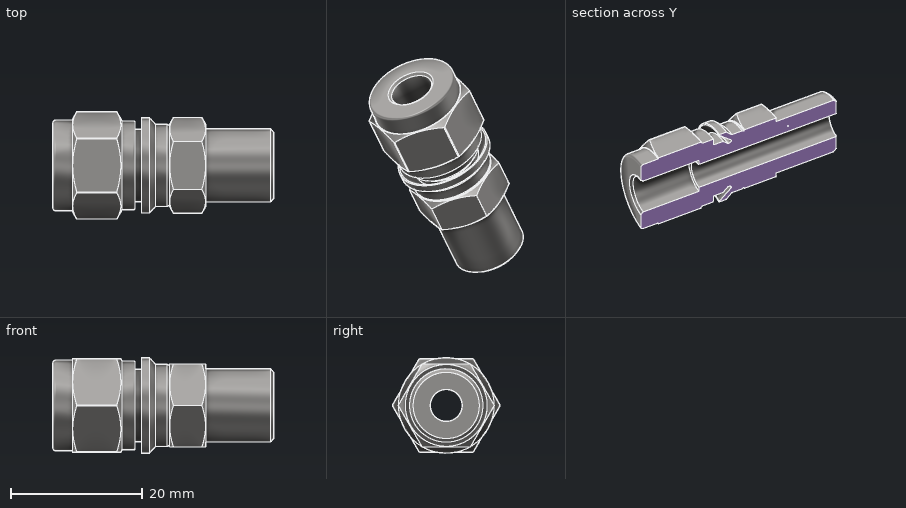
import cadquery as cq
import math

OVERALL_LENGTH = 33.74

NUT_HEX_START = 3.0
NUT_HEX_END = 10.57
COLLAR_END = 12.58
FLANGE_START = 13.55
NECK_END = 14.2
FLANGE_RIM_END = 14.75
RELIEF_END = 15.2
FLANGE_CONE_END = 15.7
BODY_HEX_START = 17.8
BODY_HEX_END = 23.38

NUT_DIAMETER = 13.9
COLLAR_DIAMETER = 13.6
NECK_DIAMETER = 11.11
RELIEF_DIAMETER = 9.4
FLANGE_DIAMETER = 14.6
RECESS_MOUTH_DIAMETER = 14.1
SHOULDER_DIAMETER = 12.6
STUB_DIAMETER = 11.2
STUB_TIP_DIAMETER = 10.1

RECESS_FLOOR_FILLET = 0.4

NUT_ACROSS_FLATS = 14.29
NUT_CORNER_DIAMETER = 16.4
NUT_HEX_FRONT_DIAMETER = 14.1
NUT_HEX_BACK_DIAMETER = 13.7
BODY_ACROSS_FLATS = 12.7
BODY_HEX_FACE_DIAMETER = 12.5
HEX_CHAMFER_ANGLE = 30.0

NUT_FACE_FILLET = 0.5
COLLAR_FILLET = 0.25
SHOULDER_TAPER_LENGTH = 0.35
SHOULDER_TAPER_DEPTH = 0.2
STUB_CHAMFER_LENGTH = 0.5

THROUGH_DIAMETER = 4.83
SOCKET_DIAMETER = 6.55
SOCKET_MOUTH_DIAMETER = 7.36
SOCKET_DEPTH = 10.0


def across_corners(across_flats):
    return across_flats / math.cos(math.radians(30))


def turned(points):
    """Revolve a closed (x, radius) outline about the X axis."""
    outline = cq.Workplane("XY").polyline(points).close()
    return outline.revolve(360, (0, 0, 0), (1, 0, 0))


def cylinder(start, end, diameter):
    """Cylinder along X between two stations."""
    return cq.Workplane("YZ", origin=(start, 0, 0)).circle(diameter / 2).extrude(end - start)


def chamfered_hex(start, end, across_flats, corner_diameter, front_diameter, back_diameter):
    """Hexagon along X with corners on +/-Y, turned down to cones at both ends."""
    prism = (
        cq.Workplane("YZ", origin=(start, 0, 0))
        .polygon(6, across_corners(across_flats))
        .extrude(end - start)
    )
    corner_radius = corner_diameter / 2
    front_radius = front_diameter / 2
    back_radius = back_diameter / 2
    cone_slope = math.tan(math.radians(HEX_CHAMFER_ANGLE))
    envelope = turned([
        (start, 0),
        (start, front_radius),
        (start + (corner_radius - front_radius) * cone_slope, corner_radius),
        (end - (corner_radius - back_radius) * cone_slope, corner_radius),
        (end, back_radius),
        (end, 0),
    ])
    return prism.intersect(envelope)


def make_nut():
    """Nut: round front with a filleted face, hexagon, and round collar."""
    front = cylinder(0, NUT_HEX_START, NUT_DIAMETER).faces("<X").edges().fillet(NUT_FACE_FILLET)
    hexagon = chamfered_hex(
        NUT_HEX_START,
        NUT_HEX_END,
        NUT_ACROSS_FLATS,
        NUT_CORNER_DIAMETER,
        NUT_HEX_FRONT_DIAMETER,
        NUT_HEX_BACK_DIAMETER,
    )
    collar = cylinder(NUT_HEX_END, COLLAR_END, COLLAR_DIAMETER)
    collar = collar.faces(">X").edges().fillet(COLLAR_FILLET)
    return front.union(hexagon).union(collar)


def make_flanged_front():
    """Neck, its relief inside the hollow flange, the flange and the shoulder."""
    neck_radius = NECK_DIAMETER / 2
    relief_radius = RELIEF_DIAMETER / 2
    shoulder_radius = SHOULDER_DIAMETER / 2
    neck_chamfer = neck_radius - relief_radius
    floor_x = RELIEF_END + RECESS_FLOOR_FILLET
    outline = (
        cq.Workplane("XY")
        .moveTo(COLLAR_END, 0)
        .lineTo(COLLAR_END, neck_radius)
        .lineTo(NECK_END, neck_radius)
        .lineTo(NECK_END + neck_chamfer, relief_radius)
        .lineTo(RELIEF_END, relief_radius)
        .radiusArc((floor_x, relief_radius + RECESS_FLOOR_FILLET), -RECESS_FLOOR_FILLET)
        .lineTo(FLANGE_START, RECESS_MOUTH_DIAMETER / 2)
        .lineTo(FLANGE_START, FLANGE_DIAMETER / 2)
        .lineTo(FLANGE_RIM_END, FLANGE_DIAMETER / 2)
        .lineTo(FLANGE_CONE_END, shoulder_radius)
        .lineTo(BODY_HEX_START - SHOULDER_TAPER_LENGTH, shoulder_radius)
        .lineTo(BODY_HEX_START, shoulder_radius - SHOULDER_TAPER_DEPTH)
        .lineTo(BODY_HEX_START, 0)
        .close()
    )
    return outline.revolve(360, (0, 0, 0), (1, 0, 0))


def make_body():
    """Body: flanged front, hexagon, and stub with a chamfered end."""
    hexagon = chamfered_hex(
        BODY_HEX_START,
        BODY_HEX_END,
        BODY_ACROSS_FLATS,
        across_corners(BODY_ACROSS_FLATS),
        BODY_HEX_FACE_DIAMETER,
        BODY_HEX_FACE_DIAMETER,
    )
    stub = turned([
        (BODY_HEX_END, 0),
        (BODY_HEX_END, STUB_DIAMETER / 2),
        (OVERALL_LENGTH - STUB_CHAMFER_LENGTH, STUB_DIAMETER / 2),
        (OVERALL_LENGTH, STUB_TIP_DIAMETER / 2),
        (OVERALL_LENGTH, 0),
    ])
    return make_flanged_front().union(hexagon).union(stub)


def make_bore():
    """Through bore with a wider tube socket at the nut end and a chamfered mouth."""
    through = cylinder(0, OVERALL_LENGTH, THROUGH_DIAMETER)
    socket_radius = SOCKET_DIAMETER / 2
    mouth_radius = SOCKET_MOUTH_DIAMETER / 2
    socket = turned([
        (0, 0),
        (0, mouth_radius),
        (mouth_radius - socket_radius, socket_radius),
        (SOCKET_DEPTH, socket_radius),
        (SOCKET_DEPTH, 0),
    ])
    return through.union(socket)


result = make_nut().union(make_body()).cut(make_bore())